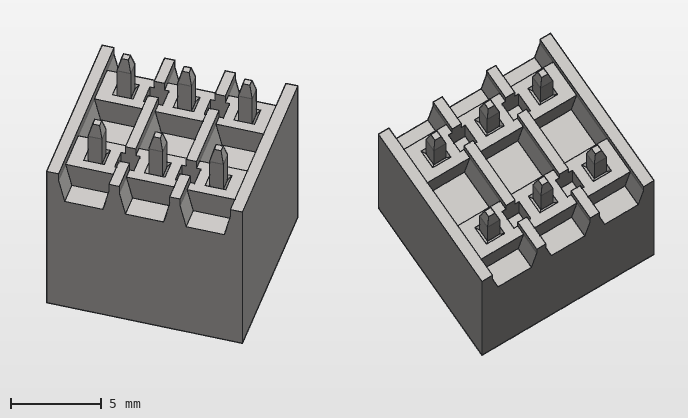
import cadquery as cq

body_length = 11.3
body_width = 10.6
body_height = 10.0

columns = 3
rows = 2
column_pitch = 3.5
row_pitch = 5.5
column_positions = [(i - (columns - 1) / 2) * column_pitch for i in range(columns)]
row_positions = [(j - (rows - 1) / 2) * row_pitch for j in range(rows)]
pin_positions = [(x, y) for x in column_positions for y in row_positions]

channel_width = 2.9
channel_floor_width = 2.2
land_depth = 0.5
channel_depth = 2.0
land_width = 2.4
land_z = body_height - land_depth

overall_height = 12.0
pin_size = 0.8
tip_size = 0.41
tip_height = 0.8
shoulder_z = overall_height - tip_height

recess_size = 1.19
recess_depth = (recess_size - pin_size) / 2
recess_floor_z = land_z - recess_depth

pocket_length = 1.1
pocket_width = 1.2
pocket_depth = channel_depth


def square_frustum(bottom_size, top_size, bottom_z, top_z):
    """Square frustum on the Z axis between two heights."""
    return (
        cq.Workplane("XY", origin=(0, 0, bottom_z))
        .rect(bottom_size, bottom_size)
        .workplane(offset=top_z - bottom_z)
        .rect(top_size, top_size)
        .loft(ruled=True)
    )


def make_channel():
    """Channel cutter along Y with its open top level with the block."""
    floor_z = body_height - channel_depth
    right_side = [
        (channel_floor_width / 2, floor_z),
        (channel_width / 2, land_z),
        (channel_width / 2, body_height),
    ]
    left_side = [(-x, z) for x, z in reversed(right_side)]
    return (
        cq.Workplane("XZ")
        .polyline(right_side + left_side)
        .close()
        .extrude(body_width / 2, both=True)
    )


def make_land():
    """Raised part of the channel floor that carries a pin."""
    return cq.Workplane("XY", origin=(0, 0, land_z)).rect(channel_width, land_width).extrude(
        land_depth - channel_depth
    )


def make_pin():
    """Square pin standing on the recess floor, narrowing at its tip."""
    shaft = (
        cq.Workplane("XY", origin=(0, 0, recess_floor_z))
        .rect(pin_size, pin_size)
        .extrude(shoulder_z - recess_floor_z)
    )
    return shaft.union(square_frustum(pin_size, tip_size, shoulder_z, overall_height))


result = cq.Workplane("XY").box(body_length, body_width, body_height, centered=(True, True, False))
for x in column_positions:
    result = result.cut(make_channel().translate((x, 0, 0)))

for x, y in pin_positions:
    result = result.union(make_land().translate((x, y, 0)))

pocket_positions = [(x + column_pitch / 2, y) for x in column_positions[:-1] for y in row_positions]
pockets = (
    cq.Workplane("XY", origin=(0, 0, body_height))
    .pushPoints(pocket_positions)
    .rect(pocket_length, pocket_width)
    .extrude(-pocket_depth)
)
result = result.cut(pockets)

recess = square_frustum(pin_size, recess_size, recess_floor_z, land_z)
for x, y in pin_positions:
    result = result.cut(recess.translate((x, y, 0)))
    result = result.union(make_pin().translate((x, y, 0)))